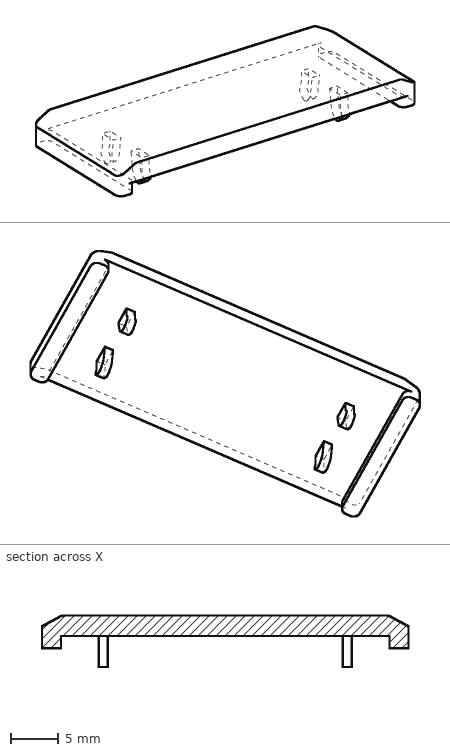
import cadquery as cq
import math

width = 15.8
length = 39.0
height = 5.5

plate_thickness = 2.22
slope_length = 2.15
slope_drop = 1.17
slope_blend_radius = 0.78
corner_radius = 0.78

wall_depth = 3.5
wall_thickness = 2.03
wall_inner_radius = 0.7

hook_thickness = 0.98
hook_spacing = 25.97
hook_outer_x = 3.6
hook_barb_x = 3.95
hook_tip_x = 2.92
hook_inner_root_x = 1.6
hook_inner_bend_x = 2.0
hook_neck_depth = 3.75
hook_neck_radius = 1.55
hook_barb_radius = 0.4
hook_bend_radius = 1.17
hook_tip_radius = 0.55


def make_cover():
    """Plate and end walls, extruded across X from the side outline."""
    half_length = length / 2
    half_flat = half_length - slope_length
    half_gap = half_length - wall_thickness
    outline = [
        (-half_length, -wall_depth),
        (-half_length, -slope_drop),
        (-half_flat, 0),
        (half_flat, 0),
        (half_length, -slope_drop),
        (half_length, -wall_depth),
        (half_gap, -wall_depth),
        (half_gap, -plate_thickness),
        (-half_gap, -plate_thickness),
        (-half_gap, -wall_depth),
    ]
    cover = cq.Workplane("YZ").polyline(outline).close().extrude(width / 2, both=True)
    cover = cover.edges("|Z").edges("<Y or >Y").fillet(corner_radius)
    inner_corners = cq.selectors.BoxSelector(
        (-width, -half_gap - wall_inner_radius / 2, -wall_depth),
        (width, half_gap + wall_inner_radius / 2, -plate_thickness),
    )
    cover = cover.edges("|Z").edges(inner_corners).fillet(wall_inner_radius)
    return cover.edges("|X and >Z").fillet(slope_blend_radius)


def make_hook(center_y):
    """Hook on the +X side: outward barb, 45 degree flanks and rounded tip."""
    flank_apex = height + hook_tip_radius * (math.sqrt(2) - 1)
    barb_z = hook_barb_x - hook_tip_x - flank_apex
    bend_z = hook_tip_x - hook_inner_bend_x - flank_apex
    root_z = -plate_thickness / 2
    neck = (hook_outer_x, -hook_neck_depth)
    barb = (hook_barb_x, barb_z)
    tip = (hook_tip_x, -flank_apex)
    bend = (hook_inner_bend_x, bend_z)
    hook = (
        cq.Workplane("XZ", origin=(0, center_y, 0))
        .moveTo(hook_outer_x, root_z)
        .lineTo(*neck)
        .lineTo(*barb)
        .lineTo(*tip)
        .lineTo(*bend)
        .lineTo(hook_inner_root_x, -plate_thickness)
        .lineTo(hook_inner_root_x, root_z)
        .close()
        .extrude(hook_thickness / 2, both=True)
    )
    rounded_corners = [
        (neck, hook_neck_radius),
        (barb, hook_barb_radius),
        (tip, hook_tip_radius),
        (bend, hook_bend_radius),
    ]
    for (x, z), radius in rounded_corners:
        corner = cq.selectors.NearestToPointSelector((x, center_y, z))
        hook = hook.edges("|Y").edges(corner).fillet(radius)
    return hook


result = make_cover()
for center_y in (-hook_spacing / 2, hook_spacing / 2):
    right_hook = make_hook(center_y)
    result = result.union(right_hook).union(right_hook.mirror("YZ"))